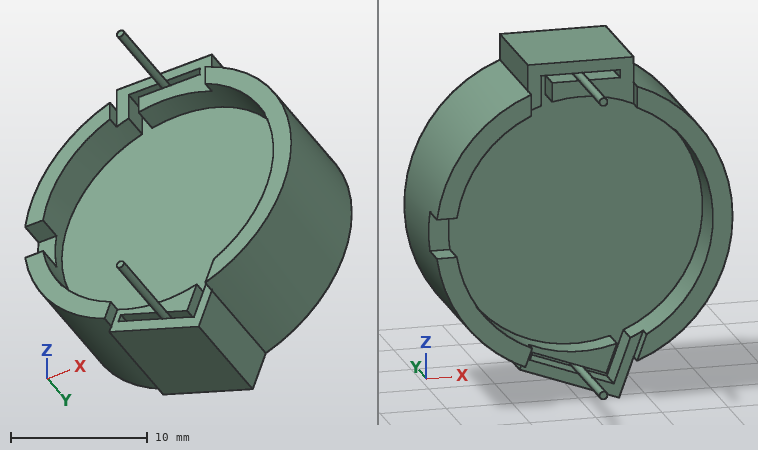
import cadquery as cq
import math

outer_diameter = 22.5
outer_radius = outer_diameter / 2
bore_radius = 9.75
ring_depth = 9.0
floor_thickness = 6.0

notch_width = 3.0
notch_depth = 2.0

lug_width = 8.0
lug_depth = 8.0
lug_wall = 0.9
channel_width = 0.6
leg_width = 0.83

upper_angle = 0
upper_top = 12.48
upper_lug_start = -lug_width / 2
upper_channel_start = -3.0
upper_channel_length = 5.98

lower_angle = 160
lower_top = 11.73
lower_lug_start = -7.35
lower_channel_start = -6.6
lower_channel_length = 6.75

pin_diameter = channel_width
pin_projection = 6.5

pin_length = lug_depth - floor_thickness + pin_projection


def prism(outline, back, length):
    """Extrude an outline sketched in X and Z toward -Y, starting at distance `back` from y = 0."""
    return outline(cq.Workplane("XZ", origin=(0, -back, 0))).extrude(length)


def block(x_start, x_end, z_start, z_end, back, length):
    """Rectangular block that runs toward -Y."""
    return prism(
        lambda plane: plane.moveTo(x_start, z_start).lineTo(x_end, z_start)
        .lineTo(x_end, z_end).lineTo(x_start, z_end).close(),
        back,
        length,
    )


def turn(body, angle):
    """Turn a body about the cell axis, counter-clockwise as seen from -Y."""
    return body.rotate((0, 0, 0), (0, -1, 0), angle)


def add_lug(housing, angle, top, lug_start):
    """Replace the ring along one lug with a shallower block that reaches in to the bore."""
    lug_end = lug_start + lug_width
    rim_gap = block(lug_start, lug_end, 0, top, lug_depth, ring_depth - lug_depth)
    lug = block(lug_start, lug_end, 0, top, 0, lug_depth)
    return housing.cut(turn(rim_gap, angle)).union(turn(lug, angle))


def cut_channel(housing, angle, top, channel_start, channel_length):
    """Cut the L-shaped contact channel, whose leg opens into the bore."""
    depth = lug_depth - floor_thickness
    channel_top = top - lug_wall
    channel = block(channel_start, channel_start + channel_length,
                    channel_top - channel_width, channel_top, floor_thickness, depth)
    leg = block(channel_start, channel_start + leg_width, 0, channel_top, floor_thickness, depth)
    return housing.cut(turn(channel.union(leg), angle))


def make_housing():
    housing = prism(lambda plane: plane.circle(outer_radius), 0, ring_depth)
    housing = add_lug(housing, upper_angle, upper_top, upper_lug_start)
    housing = add_lug(housing, lower_angle, lower_top, lower_lug_start)
    bore = prism(lambda plane: plane.circle(bore_radius), floor_thickness, ring_depth - floor_thickness)
    housing = housing.cut(bore)
    housing = cut_channel(housing, upper_angle, upper_top, upper_channel_start, upper_channel_length)
    housing = cut_channel(housing, lower_angle, lower_top, lower_channel_start, lower_channel_length)
    notch = block(-outer_radius, 0, -notch_width / 2, notch_width / 2,
                  ring_depth - notch_depth, notch_depth)
    return housing.cut(notch)


def make_pin(angle, top):
    """Pin standing on the channel floor at x = 0, midway across the channel."""
    channel_middle = top - lug_wall - channel_width / 2
    height = channel_middle / math.cos(math.radians(angle))
    return prism(lambda plane: plane.center(0, height).circle(pin_diameter / 2), floor_thickness, pin_length)


housing = make_housing()
pins = [make_pin(angle, top) for angle, top in ((upper_angle, upper_top), (lower_angle, lower_top))]

result = cq.Compound.makeCompound([housing.val(), *[pin.val() for pin in pins]])